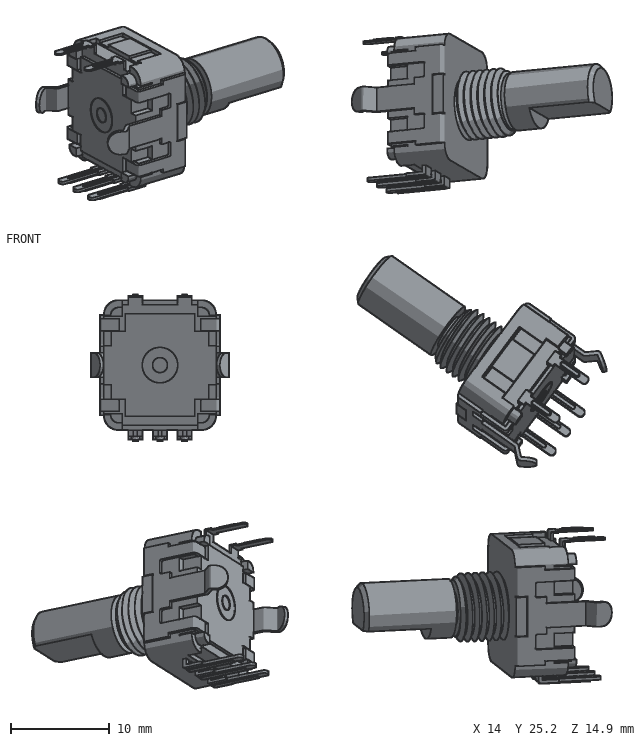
import cadquery as cq
import math


SHAFT_RADIUS = 3.0
SHAFT_END = 15.0
SHAFT_START = 5.45
SHAFT_CHAMFER = 0.45
FLAT_START = 8.0
FLAT_Z = -1.5
NECK_RADIUS = 1.8
BUSHING_LENGTH = 5.0
THREAD_RADIUS = 3.5
THREAD_PITCH = 0.75
THREAD_ROOT_RADIUS = 2.87
THREAD_FIRST_CREST = -0.985
THREAD_TURNS = 9
THREAD_GAP = 0.01
ENVELOPE_MARGIN = 0.3

SHELL_HALF_X = 5.7
SHELL_HALF_Z = 6.6
SHELL_CORNER = 1.5
SHELL_DEPTH = 5.55
BASE_HALF_X = 3.82
BASE_HALF_Z = 6.1
BASE_DEPTH = 5.84
NOTCH_START = 4.08
SIDE_HALF_Z = 4.93
COVER_DEPTH = 6.22
COVER_HALF_X = 3.55
COVER_HALF_Z = 5.2
COVER_ARM_HALF_Z = 3.45
POST_OUTER_X = 5.0
POST_OUTER_Z = 5.85
POST_CORNER = 0.8
POST_DEPTH = 6.6
SIDE_NOTCH_X = 4.96
SIDE_NOTCH_Z = 1.97
SIDE_NOTCH_START = 4.1
SIDE_GAP_HALF_Z = 5.05
REAR_BOSS_RADIUS = 1.8
REAR_BOSS_HEIGHT = 0.09
REAR_DIMPLE_RADIUS = 0.76

WINDOW_HALF_X = 3.22
WINDOW_START = 1.14
WINDOW_FLOOR_START = 1.29
WINDOW_FLOOR_Z = 6.32
WINDOW_TRENCH_Z = 5.9
WINDOW_PAD_HALF_X = 1.78

PLATE_THICKNESS = 0.4
PLATE_X = SHELL_HALF_X + PLATE_THICKNESS
PLATE_HALF_Z = 5.1
PLATE_STEP = 3.03
PLATE_REAR_HALF_Z = 4.7
PLATE_BEND = 0.39
SLOT_START = 2.05
SLOT_OUTER_Z = 3.48
SLOT_INNER_Z = 1.9
SLOT_STEP = 3.18
SLOT_CORNER = 0.2
TAB_INNER_X = 4.11
TAB_CORNER = 0.1
FLAP_HALF_Z = 2.0
FLAP_LENGTH = 1.14
FLAP_GAP = 0.08
CLIP_HALF_Z = 1.25
CLIP_KNEE = 7.3
CLIP_APEX_X = 7.1
CLIP_APEX = 8.41
CLIP_END_X = 6.08
CLIP_END = 10.03
CLIP_TIP_RADIUS = 1.24
CLIP_OUTER_BEND = 0.4
CLIP_INNER_BEND = 0.1
CLIP_KNEE_BEND = 0.4

PIN_SPACING = 2.5
PIN_WIDTH = 0.87
PIN_SHOULDER = 1.46
PIN_CORNER = 0.38
PIN_ROOT_Z = 5.5
TOP_PIN_Z = 7.05
TOP_PIN_THICKNESS = 0.17
TOP_STEM_START = 5.6
TOP_SHOULDER_END = 6.38
TOP_PIN_END = 10.2
TOP_BUMP_START = 6.83
TOP_BUMP_END = 9.18
BUMP_WIDTH = 0.57
BUMP_HEIGHT = 0.15
BUMP_CHAMFER = 0.1
LOW_PIN_Z = 7.56
LOW_PIN_THICKNESS = 0.32
LOW_STEM_START = 3.08
LOW_STEM_END = 3.48
LOW_SHOULDER_END = 5.22
LOW_PIN_END = 9.72
LOW_RIB_START = 3.3
LOW_RIB_END = 8.55
LOW_GROOVE_WIDTH = 0.4
LOW_GROOVE_DEPTH = 0.15
LOW_GROOVE_CORNER = 0.12
TOP_BEND_RADIUS = 0.2
LOW_BEND_RADIUS = 0.15


def block(x_range, depth_range, z_range):
    """Box between two X, two depths below the mounting face (-Y) and two Z."""
    size_x = x_range[1] - x_range[0]
    size_y = depth_range[1] - depth_range[0]
    size_z = z_range[1] - z_range[0]
    corner = (x_range[0], -depth_range[1], z_range[0])
    return cq.Workplane("XY").box(size_x, size_y, size_z, centered=False).translate(corner)


def centered_block(half_x, depth_range, half_z):
    return block((-half_x, half_x), depth_range, (-half_z, half_z))


def on_both_x_sides(solid):
    return solid.union(solid.mirror("YZ"))


def on_four_corners(solid):
    return on_both_x_sides(solid.union(solid.mirror("XY")))


def cylinder_along_y(radius, start, end):
    return cq.Workplane("XZ", origin=(0, start, 0)).circle(radius).extrude(start - end)


def make_shaft():
    neck = cylinder_along_y(NECK_RADIUS, 0, FLAT_START)
    shaft = cylinder_along_y(SHAFT_RADIUS, SHAFT_START, SHAFT_END)
    shaft = shaft.faces(">Y").chamfer(SHAFT_CHAMFER)
    below_flat = block(
        (-SHAFT_RADIUS, SHAFT_RADIUS), (-SHAFT_END, -FLAT_START), (-SHAFT_RADIUS, FLAT_Z)
    )
    return neck.union(shaft.cut(below_flat))


def make_bushing():
    half_tooth = (THREAD_PITCH - THREAD_GAP) / 2
    tooth_base = THREAD_ROOT_RADIUS - THREAD_GAP
    helix = cq.Wire.makeHelix(THREAD_PITCH, THREAD_PITCH * THREAD_TURNS, THREAD_ROOT_RADIUS)
    tooth = (
        cq.Workplane("XZ")
        .moveTo(tooth_base, -half_tooth)
        .lineTo(THREAD_RADIUS, 0)
        .lineTo(tooth_base, half_tooth)
        .close()
        .sweep(cq.Workplane(helix), isFrenet=True)
        .rotate((0, 0, 0), (1, 0, 0), -90)
        .translate((0, THREAD_FIRST_CREST, 0))
    )
    envelope_radius = THREAD_RADIUS + ENVELOPE_MARGIN
    envelope = cylinder_along_y(envelope_radius, 0, BUSHING_LENGTH)
    envelope = envelope.faces(">Y").chamfer(envelope_radius - THREAD_ROOT_RADIUS)
    core = cylinder_along_y(THREAD_ROOT_RADIUS, 0, BUSHING_LENGTH)
    return core.union(tooth.intersect(envelope))


def make_window():
    """Material removed from the top of the shell: a trench and two side pockets."""
    trench = block(
        (-WINDOW_HALF_X, WINDOW_HALF_X),
        (WINDOW_START, WINDOW_FLOOR_START),
        (WINDOW_TRENCH_Z, SHELL_HALF_Z),
    )
    pocket = block(
        (WINDOW_PAD_HALF_X, WINDOW_HALF_X),
        (WINDOW_FLOOR_START, NOTCH_START),
        (WINDOW_FLOOR_Z, SHELL_HALF_Z),
    )
    return trench.union(on_both_x_sides(pocket))


def make_post():
    post = block(
        (BASE_HALF_X, POST_OUTER_X), (NOTCH_START, POST_DEPTH), (SIDE_HALF_Z, POST_OUTER_Z)
    )
    return post.edges("|Y and >X and >Z").fillet(POST_CORNER)


def make_housing():
    shell = centered_block(SHELL_HALF_X, (0, SHELL_DEPTH), SHELL_HALF_Z)
    shell = shell.edges("|Y").fillet(SHELL_CORNER)
    notch = block(
        (-BASE_HALF_X, BASE_HALF_X), (NOTCH_START, SHELL_DEPTH), (BASE_HALF_Z, SHELL_HALF_Z)
    )
    shell = shell.cut(notch).cut(notch.mirror("XY")).cut(make_window())

    housing = (
        shell.union(centered_block(BASE_HALF_X, (NOTCH_START, BASE_DEPTH), BASE_HALF_Z))
        .union(centered_block(SHELL_HALF_X, (NOTCH_START, BASE_DEPTH), SIDE_HALF_Z))
        .union(centered_block(COVER_HALF_X, (NOTCH_START, COVER_DEPTH), COVER_HALF_Z))
        .union(centered_block(SHELL_HALF_X, (NOTCH_START, COVER_DEPTH), COVER_ARM_HALF_Z))
        .union(on_four_corners(make_post()))
    )
    side_notch = block(
        (SIDE_NOTCH_X, SHELL_HALF_X),
        (SIDE_NOTCH_START, COVER_DEPTH),
        (SIDE_NOTCH_Z, COVER_ARM_HALF_Z),
    )
    side_gap = block(
        (POST_OUTER_X, SHELL_HALF_X),
        (SIDE_NOTCH_START, COVER_DEPTH),
        (SIDE_HALF_Z, SIDE_GAP_HALF_Z),
    )
    housing = housing.cut(on_four_corners(side_notch)).cut(on_four_corners(side_gap))

    boss_end = -COVER_DEPTH - REAR_BOSS_HEIGHT
    boss = cylinder_along_y(REAR_BOSS_RADIUS, boss_end, -COVER_DEPTH)
    dimple = cylinder_along_y(REAR_DIMPLE_RADIUS, boss_end, -COVER_DEPTH)
    return housing.union(boss.cut(dimple))


def inward_normal(start, end):
    """Unit normal of a leg that runs towards -Y, pointing to its -X side."""
    run_x = end[0] - start[0]
    run_y = end[1] - start[1]
    length = math.hypot(run_x, run_y)
    return run_y / length, -run_x / length


def inner_corner(corner, normal_before, normal_after):
    """Corner of the inner sheet face, opposite a corner of the outer face."""
    cosine = normal_before[0] * normal_after[0] + normal_before[1] * normal_after[1]
    reach = PLATE_THICKNESS / (1 + cosine)
    return (
        corner[0] + reach * (normal_before[0] + normal_after[0]),
        corner[1] + reach * (normal_before[1] + normal_after[1]),
    )


def make_clip():
    """Snap-in leg: a twice bent strip with a rounded tip, on the +X side."""
    root = (PLATE_X, -SLOT_STEP)
    knee = (PLATE_X, -CLIP_KNEE)
    apex = (CLIP_APEX_X, -CLIP_APEX)
    end = (CLIP_END_X, -CLIP_END)
    root_normal = inward_normal(root, knee)
    outward_normal = inward_normal(knee, apex)
    return_normal = inward_normal(apex, end)
    knee_inner = inner_corner(knee, root_normal, outward_normal)
    apex_inner = inner_corner(apex, outward_normal, return_normal)
    clip = (
        cq.Workplane("XY", origin=(0, 0, -CLIP_HALF_Z))
        .moveTo(*root)
        .lineTo(*knee)
        .lineTo(*apex)
        .lineTo(*end)
        .lineTo(*inner_corner(end, return_normal, return_normal))
        .lineTo(*apex_inner)
        .lineTo(*knee_inner)
        .lineTo(*inner_corner(root, root_normal, root_normal))
        .close()
        .extrude(2 * CLIP_HALF_Z)
    )
    clip = clip.faces("<Y").edges("#Z").fillet(CLIP_TIP_RADIUS)
    clip = clip.edges("|Z and >X").fillet(CLIP_OUTER_BEND)
    clip = clip.edges(cq.NearestToPointSelector((*knee_inner, 0))).fillet(CLIP_KNEE_BEND)
    return clip.edges(cq.NearestToPointSelector((*apex_inner, 0))).fillet(CLIP_INNER_BEND)


def make_plate_slot():
    """Slot through the +X side plate above the clip, open towards -Y."""
    return (
        cq.Workplane("YZ", origin=(SHELL_HALF_X, 0, 0))
        .moveTo(-COVER_DEPTH, SLOT_OUTER_Z)
        .lineTo(-SLOT_START, SLOT_OUTER_Z)
        .lineTo(-SLOT_START, SLOT_INNER_Z)
        .lineTo(-SLOT_STEP, SLOT_INNER_Z)
        .lineTo(-SLOT_STEP, CLIP_HALF_Z)
        .lineTo(-COVER_DEPTH, CLIP_HALF_Z)
        .close()
        .extrude(PLATE_THICKNESS)
        .edges("|X and >Y")
        .fillet(SLOT_CORNER)
    )


def make_side_plate():
    """The +X side plate with its two tabs, clip and retaining flap."""
    plate_x = (SHELL_HALF_X, PLATE_X)
    plate = block(plate_x, (0, PLATE_STEP), (-PLATE_HALF_Z, PLATE_HALF_Z))
    plate = plate.edges("|Z and >X and >Y").fillet(PLATE_BEND)
    rear = block(plate_x, (PLATE_STEP, COVER_DEPTH), (-PLATE_REAR_HALF_Z, PLATE_REAR_HALF_Z))
    rear = rear.edges("|Z and >X and <Y").fillet(PLATE_BEND)
    slot = make_plate_slot()
    plate = plate.union(rear).cut(slot).cut(slot.mirror("XY"))

    tab = block(
        (TAB_INNER_X, SHELL_HALF_X),
        (BASE_DEPTH, COVER_DEPTH),
        (SLOT_OUTER_Z, PLATE_REAR_HALF_Z),
    )
    tab = tab.edges("|Y and <X").fillet(TAB_CORNER)
    plate = plate.union(tab).union(tab.mirror("XY"))

    gap_half_z = FLAP_HALF_Z + FLAP_GAP
    opening = block(plate_x, (0, FLAP_LENGTH + FLAP_GAP), (-gap_half_z, gap_half_z))
    flap = block(plate_x, (0, FLAP_LENGTH), (-FLAP_HALF_Z, FLAP_HALF_Z))
    return plate.cut(opening).union(flap).union(make_clip())


def make_pin_blade(shoulder_depths, blade_depths, z_range):
    """Flat pin centred on X = 0: a wide shoulder followed by a narrow blade."""
    shoulder = block((-PIN_SHOULDER / 2, PIN_SHOULDER / 2), shoulder_depths, z_range)
    blade = block((-PIN_WIDTH / 2, PIN_WIDTH / 2), blade_depths, z_range)
    blade = blade.edges("|Z and <Y").fillet(PIN_CORNER)
    return shoulder.union(blade)


def make_top_pin():
    pin = make_pin_blade(
        (TOP_STEM_START, TOP_SHOULDER_END),
        (TOP_STEM_START, TOP_PIN_END),
        (TOP_PIN_Z - TOP_PIN_THICKNESS, TOP_PIN_Z),
    )
    stem = block(
        (-PIN_SHOULDER / 2, PIN_SHOULDER / 2),
        (TOP_STEM_START, BASE_DEPTH),
        (PIN_ROOT_Z, TOP_PIN_Z),
    )
    pin = pin.union(stem).edges("|X and >Y and >Z").fillet(TOP_BEND_RADIUS)
    bump = (
        cq.Workplane("XY", origin=(0, -(TOP_BUMP_START + TOP_BUMP_END) / 2, TOP_PIN_Z))
        .slot2D(TOP_BUMP_END - TOP_BUMP_START, BUMP_WIDTH, 90)
        .extrude(BUMP_HEIGHT)
        .faces(">Z")
        .chamfer(BUMP_CHAMFER)
    )
    return pin.union(bump)


def make_low_pin():
    """Lower pin with a stiffening rib pressed through it from its inner side."""
    inner_z = -LOW_PIN_Z + LOW_PIN_THICKNESS
    pin = make_pin_blade(
        (LOW_STEM_START, LOW_SHOULDER_END),
        (LOW_STEM_START, LOW_PIN_END),
        (-LOW_PIN_Z, inner_z),
    )
    stem = block(
        (-PIN_SHOULDER / 2, PIN_SHOULDER / 2),
        (LOW_STEM_START, LOW_STEM_END),
        (-LOW_PIN_Z, -PIN_ROOT_Z),
    )
    pin = pin.union(stem).edges("|X and >Y and <Z").fillet(LOW_BEND_RADIUS)
    rib = block(
        (-BUMP_WIDTH / 2, BUMP_WIDTH / 2),
        (LOW_RIB_START, LOW_RIB_END),
        (-LOW_PIN_Z - BUMP_HEIGHT, -LOW_PIN_Z),
    )
    groove_x = (-LOW_GROOVE_WIDTH / 2, LOW_GROOVE_WIDTH / 2)
    stem_groove_start = LOW_STEM_END - LOW_GROOVE_DEPTH
    blade_groove = block(
        groove_x, (stem_groove_start, LOW_RIB_END), (inner_z - LOW_GROOVE_DEPTH, inner_z)
    )
    blade_groove = blade_groove.edges("|Z and <Y").fillet(LOW_GROOVE_CORNER)
    stem_groove = block(
        groove_x, (stem_groove_start, LOW_STEM_END), (inner_z, -SHELL_HALF_Z)
    )
    return pin.union(rib).cut(blade_groove).cut(stem_groove)


result = make_housing().union(on_both_x_sides(make_side_plate()))
for pin_x in (-PIN_SPACING, PIN_SPACING):
    result = result.union(make_top_pin().translate((pin_x, 0, 0)))
for pin_x in (-PIN_SPACING, 0, PIN_SPACING):
    result = result.union(make_low_pin().translate((pin_x, 0, 0)))
result = result.union(make_bushing()).union(make_shaft())